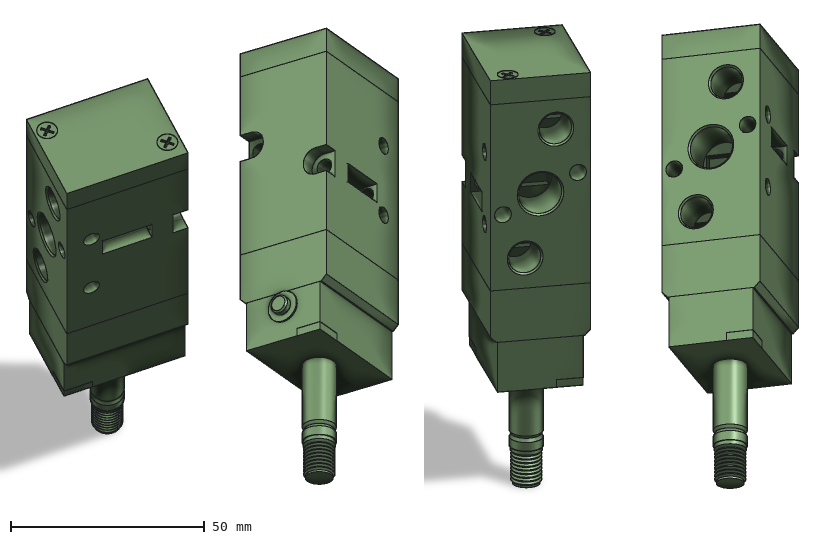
import cadquery as cq

WIDTH = 26.5
DEPTH = 34.0
FRONT_Y = -DEPTH / 2
BACK_Y = DEPTH / 2
SIDE_X = WIDTH / 2

TOP_Z = 119.5
CAP_HEIGHT = 6.7
BODY_HEIGHT = 51.7
ADAPTER_HEIGHT = 14.5
COIL_HEIGHT = 13.9
BODY_TOP_Z = TOP_Z - CAP_HEIGHT
ADAPTER_TOP_Z = BODY_TOP_Z - BODY_HEIGHT
COIL_TOP_Z = ADAPTER_TOP_Z - ADAPTER_HEIGHT
COIL_BOTTOM_Z = COIL_TOP_Z - COIL_HEIGHT

SCREW_X = 7.9
SCREW_Y = 13.5
SCREW_SEAT_DIAMETER = 5.4
SCREW_SEAT_DEPTH = 0.1
CROSS_LENGTH = 3.5
CROSS_WIDTH = 0.6
CROSS_DEPTH = 1.0

PORT_CENTRE_Z = 87.0
PORT_OFFSET_X = 4.1
PORT_OFFSET_Z = 17.6
SMALL_PORT_DIAMETER = 8.5
LARGE_PORT_DIAMETER = 11.4
PORT_CHAMFER = 0.5
PORT_DEPTH = 12.0
WINDOW_WIDTH = 9.7
SMALL_WINDOW_HEIGHT = 3.5
LARGE_WINDOW_HEIGHT = 5.0
WINDOW_DEPTH = 2.4

MOUNT_DIAMETER = 4.4
MOUNT_X = 9.9
MOUNT_OFFSET_Z = 5.0
CROSS_HOLE_Y = FRONT_Y + 6.9
CROSS_HOLE_OFFSET_Z = 10.0
SLOT_WIDTH = 5.4
SLOT_LENGTH = 13.9
SLOT_START_Y = FRONT_Y + 10.0
NOTCH_WIDTH = 7.5
NOTCH_LENGTH = 4.2

ADAPTER_CHAMFER = 1.5
COIL_WIDTH = 22.7
CORNER_WIDTH_X = 7.2
CORNER_WIDTH_Y = 8.0
CORNER_HEIGHT = 2.2
CORNER_RELIEF = 0.06

FLANGE_DIAMETER = 8.6
FLANGE_THICKNESS = 0.5
BUTTON_DIAMETER = 5.0
BUTTON_PROJECTION = 2.4
BUTTON_CHAMFER = 0.5
BUTTON_Z = COIL_TOP_Z - FLANGE_DIAMETER / 2

STEM_DIAMETER = 8.8
GROOVE_DIAMETER = 7.8
GROOVE_TOP_Z = 14.7
GROOVE_Z = 13.9
COLLAR_TOP_Z = 12.9
COLLAR_BOTTOM_Z = 10.4
NECK_DIAMETER = 8.4
NECK_BOTTOM_Z = 9.3
THREAD_MAJOR_DIAMETER = 8.1
THREAD_MINOR_DIAMETER = 7.2
THREAD_PITCH = 1.02
THREAD_RIDGES = 8
LAST_CREST_Z = 1.1
THREAD_TOP_Z = LAST_CREST_Z + (THREAD_RIDGES - 0.5) * THREAD_PITCH


def block(width, height, bottom_z):
    """Rectangular block centred on the Z axis."""
    return cq.Workplane("XY", origin=(0, 0, bottom_z)).box(
        width, DEPTH, height, centered=(True, True, False)
    )


def cylinder_y(diameter, start_y, length, x, z):
    """Cylinder running towards +Y from start_y."""
    return cq.Workplane("XZ", origin=(x, start_y, z)).circle(diameter / 2).extrude(-length)


def screw_recess(x, y):
    """Round screw seat with a diagonal cross recess in the top face."""
    top = cq.Workplane("XY", origin=(x, y, TOP_Z))
    recess = top.circle(SCREW_SEAT_DIAMETER / 2).extrude(-SCREW_SEAT_DEPTH)
    for angle in (45, 135):
        arm = top.transformed(rotate=(0, 0, angle)).rect(CROSS_LENGTH, CROSS_WIDTH).extrude(-CROSS_DEPTH)
        recess = recess.union(arm)
    return recess


def make_end_cap():
    cap = block(WIDTH, CAP_HEIGHT, BODY_TOP_Z)
    for side in (-1, 1):
        cap = cap.cut(screw_recess(side * SCREW_X, side * SCREW_Y))
    return cap


def port(diameter, window_height, x, z):
    """Chamfered port in the front face with a rectangular passage at its bottom."""
    bore = cylinder_y(diameter, FRONT_Y, PORT_DEPTH, x, z)
    bore_r = diameter / 2
    mouth = cq.Solid.makeCone(
        bore_r + PORT_CHAMFER,
        bore_r,
        PORT_CHAMFER,
        pnt=cq.Vector(x, FRONT_Y, z),
        dir=cq.Vector(0, 1, 0),
    )
    window = (
        cq.Workplane("XZ", origin=(x, FRONT_Y + PORT_DEPTH, z))
        .rect(WINDOW_WIDTH, window_height)
        .extrude(-WINDOW_DEPTH)
    )
    return bore.union(cq.Workplane(mouth)).union(window)


def side_slot(side, width, start_y, length, z):
    """Slot with a round bottom, open to one X side and centred on the mounting hole."""
    hole_x = side * MOUNT_X
    opening = SIDE_X - MOUNT_X
    mouth = cq.Workplane("XY").box(opening, length, width).translate(
        (side * (MOUNT_X + opening / 2), start_y + length / 2, z)
    )
    return mouth.union(cylinder_y(width, start_y, length, hole_x, z))


def make_valve_body():
    body = block(WIDTH, BODY_HEIGHT, ADAPTER_TOP_Z)
    body = body.cut(port(LARGE_PORT_DIAMETER, LARGE_WINDOW_HEIGHT, 0, PORT_CENTRE_Z))
    for side in (-1, 1):
        port_z = PORT_CENTRE_Z + side * PORT_OFFSET_Z
        body = body.cut(port(SMALL_PORT_DIAMETER, SMALL_WINDOW_HEIGHT, side * PORT_OFFSET_X, port_z))

        mount_z = PORT_CENTRE_Z + side * MOUNT_OFFSET_Z
        body = body.cut(cylinder_y(MOUNT_DIAMETER, FRONT_Y, DEPTH, side * MOUNT_X, mount_z))
        body = body.cut(side_slot(side, SLOT_WIDTH, SLOT_START_Y, SLOT_LENGTH, mount_z))
        body = body.cut(side_slot(side, NOTCH_WIDTH, BACK_Y - NOTCH_LENGTH, NOTCH_LENGTH, mount_z))

        cross_z = PORT_CENTRE_Z + side * CROSS_HOLE_OFFSET_Z
        cross_hole = (
            cq.Workplane("YZ", origin=(-SIDE_X, CROSS_HOLE_Y, cross_z))
            .circle(MOUNT_DIAMETER / 2)
            .extrude(WIDTH)
        )
        body = body.cut(cross_hole)
    return body


def make_adapter():
    adapter = block(WIDTH, ADAPTER_HEIGHT, COIL_TOP_Z)
    return adapter.faces("<Z").edges("|Y").chamfer(ADAPTER_CHAMFER)


def corner_relief(side):
    """Thin step around one lower corner, at +X -Y for side 1 and at -X +Y for side -1."""
    corner_x = side * COIL_WIDTH / 2
    corner_y = -side * DEPTH / 2
    middle_z = COIL_BOTTOM_Z + CORNER_HEIGHT / 2
    outer = cq.Workplane("XY").box(2 * CORNER_WIDTH_X, 2 * CORNER_WIDTH_Y, CORNER_HEIGHT)
    kept = cq.Workplane("XY").box(COIL_WIDTH - 2 * CORNER_RELIEF, DEPTH - 2 * CORNER_RELIEF, CORNER_HEIGHT)
    outer = outer.translate((corner_x, corner_y, middle_z))
    return outer.cut(kept.translate((0, 0, middle_z)))


def make_button():
    flange = cylinder_y(FLANGE_DIAMETER, BACK_Y, FLANGE_THICKNESS, 0, BUTTON_Z)
    button = cylinder_y(BUTTON_DIAMETER, BACK_Y, BUTTON_PROJECTION, 0, BUTTON_Z)
    return flange.union(button.faces(">Y").chamfer(BUTTON_CHAMFER))


def make_connector():
    """Turned stem: shank, V groove, collar, neck and ring-shaped thread ridges."""
    stem_r = STEM_DIAMETER / 2
    neck_r = NECK_DIAMETER / 2
    major_r = THREAD_MAJOR_DIAMETER / 2
    minor_r = THREAD_MINOR_DIAMETER / 2
    profile = [
        (0, COIL_BOTTOM_Z),
        (stem_r, COIL_BOTTOM_Z),
        (stem_r, GROOVE_TOP_Z),
        (GROOVE_DIAMETER / 2, GROOVE_Z),
        (stem_r, COLLAR_TOP_Z),
        (stem_r, COLLAR_BOTTOM_Z),
        (neck_r, COLLAR_BOTTOM_Z),
        (neck_r, NECK_BOTTOM_Z),
        (minor_r, THREAD_TOP_Z),
    ]
    for ridge in reversed(range(THREAD_RIDGES)):
        crest_z = LAST_CREST_Z + ridge * THREAD_PITCH
        profile.append((major_r, crest_z))
        profile.append((minor_r, crest_z - THREAD_PITCH / 2))
    profile += [(minor_r, 0), (0, 0)]
    return cq.Workplane("XZ").polyline(profile).close().revolve(360, (0, 0, 0), (0, 1, 0))


def make_coil():
    coil = block(COIL_WIDTH, COIL_HEIGHT, COIL_BOTTOM_Z)
    for side in (-1, 1):
        coil = coil.cut(corner_relief(side))
    return coil.union(make_button()).union(make_connector())


end_cap = make_end_cap()
valve_body = make_valve_body()
adapter = make_adapter()
coil = make_coil()

result = cq.Compound.makeCompound([end_cap.val(), valve_body.val(), adapter.val(), coil.val()])